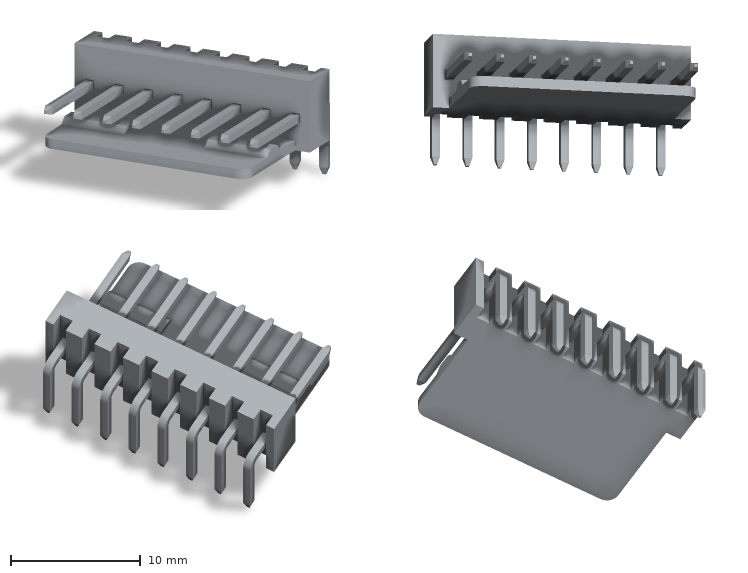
import cadquery as cq


pin_count = 8
pitch = 2.54
row_span = (pin_count - 1) * pitch
pin_positions = [i * pitch - row_span / 2 for i in range(pin_count)]

housing_length = pin_count * pitch
housing_depth = 3.3
housing_height = 5.8
housing_front_y = -housing_depth

slot_width = 1.1
slot_depth = 1.05

plate_reach = 8.2
plate_thickness = 0.8
plate_corner_radius = 1.0

ridge_length = 5.42
ridge_offset = 2.47
ridge_base_width = 2.25
ridge_height = 0.52

pin_width = 0.64
pin_axis_z = 2.6
pin_rear_overhang = 2.02
pin_tip_setback = 0.72
pin_drop = 3.4
bend_outer_radius = 1.0
taper_length = 0.61
tip_width = 0.24

mouth_chamfer = 0.1


def make_housing():
    housing = cq.Workplane("XY").box(
        housing_length, housing_depth, housing_height, centered=(True, False, False)
    ).translate((0, housing_front_y, 0))
    slots = (
        cq.Workplane("XY")
        .pushPoints([(x, -slot_depth / 2) for x in pin_positions])
        .rect(slot_width, slot_depth)
        .extrude(housing_height)
    )
    return housing.cut(slots)


def make_plate():
    plate = cq.Workplane("XY").box(
        row_span, plate_reach, plate_thickness, centered=(True, False, False)
    ).translate((0, housing_front_y - plate_reach, 0))
    return plate.edges("|Z and <Y").fillet(plate_corner_radius)


def make_ridge(start_x):
    """Trapezoidal ridge with 45 degree flanks, running in +X from start_x."""
    back_y = housing_front_y - ridge_offset
    front_y = back_y - ridge_base_width
    top_z = plate_thickness + ridge_height
    return (
        cq.Workplane("YZ", origin=(start_x, 0, 0))
        .moveTo(back_y, plate_thickness)
        .lineTo(back_y - ridge_height, top_z)
        .lineTo(front_y + ridge_height, top_z)
        .lineTo(front_y, plate_thickness)
        .close()
        .extrude(ridge_length)
    )


def make_pin():
    """Bent pin centred on X = 0."""
    top_z = pin_axis_z + pin_width / 2
    rear_y = pin_rear_overhang
    straight_front_y = housing_front_y - plate_reach + pin_tip_setback + taper_length
    straight_bottom_z = taper_length - pin_drop

    wire_body = (
        cq.Workplane("YZ", origin=(-pin_width / 2, 0, 0))
        .moveTo(straight_front_y, top_z)
        .lineTo(rear_y - bend_outer_radius, top_z)
        .radiusArc((rear_y, top_z - bend_outer_radius), bend_outer_radius)
        .lineTo(rear_y, straight_bottom_z)
        .lineTo(rear_y - pin_width, straight_bottom_z)
        .lineTo(rear_y - pin_width, top_z - bend_outer_radius)
        .radiusArc((rear_y - bend_outer_radius, top_z - pin_width), pin_width - bend_outer_radius)
        .lineTo(straight_front_y, top_z - pin_width)
        .close()
        .extrude(pin_width)
    )
    front_tip = square_frustum(
        cq.Workplane("XZ", origin=(0, straight_front_y, pin_axis_z)),
        pin_width, tip_width, taper_length,
    )
    bottom_tip = square_frustum(
        cq.Workplane("XY", origin=(0, rear_y - pin_width / 2, straight_bottom_z)),
        pin_width, tip_width, -taper_length,
    )
    return wire_body.union(front_tip).union(bottom_tip)


def square_frustum(base_plane, base_width, end_width, length):
    return (
        base_plane.rect(base_width, base_width)
        .workplane(offset=length)
        .rect(end_width, end_width)
        .loft()
    )


def make_mouth():
    """Cutter for the chamfered mouth of the pin at X = 0."""
    return square_frustum(
        cq.Workplane("XZ", origin=(0, housing_front_y, pin_axis_z)),
        pin_width + 2 * mouth_chamfer, pin_width, -mouth_chamfer,
    )


result = make_housing().union(make_plate())

for ridge_start_x in (-row_span / 2, row_span / 2 - ridge_length):
    result = result.union(make_ridge(ridge_start_x))

mouth = make_mouth()
pin = make_pin()
for pin_x in pin_positions:
    result = result.cut(mouth.translate((pin_x, 0, 0)))
    result = result.union(pin.translate((pin_x, 0, 0)))